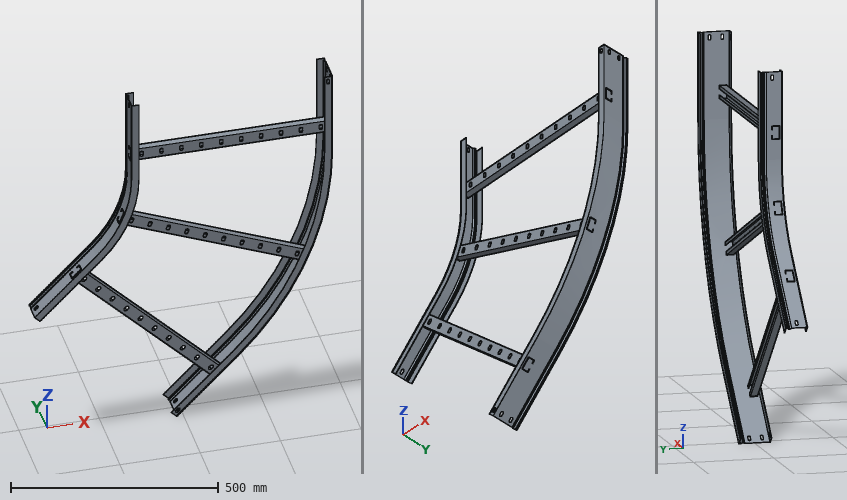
import cadquery as cq
import math


BEND_ANGLE = 45.0
OVERALL_HEIGHT = 936.0
OUTER_RADIUS = 799.0
INNER_RADIUS = 298.0
BEND_SIN = math.sin(math.radians(BEND_ANGLE))
BEND_COS = math.cos(math.radians(BEND_ANGLE))
LEG_LENGTH = (OVERALL_HEIGHT - OUTER_RADIUS * BEND_SIN) / (1 + BEND_COS)

OUTER_RAIL_DEPTH = 80.0
INNER_RAIL_DEPTH = 55.0
RAIL_SHEET = 2.0
FLANGE_WIDTH = 20.0

BEAD_OFFSET = 10.0
BEAD_FLOOR = 2.0
BEAD_PRESS = 4.0
BEAD_FLANK_ANGLE = 45.0

END_SLOT_LENGTH = 13.0
END_SLOT_WIDTH = 7.0
END_SLOT_INSET = 14.0
INNER_WEB_SLOTS = [25.0]
OUTER_WEB_SLOTS = [19.0, 51.0]
FLANGE_SLOT_OFFSET = 11.0

RUNG_HEIGHT = 34.0
RUNG_DEPTH = 20.0
RUNG_SHEET = 1.5
RUNG_LIP = 9.0
RUNG_BEND_RADIUS = 2.0
RUNG_FRONT_OFFSET = 7.0
RUNG_TO_ARC = 67.0

RUNG_SLOT_COUNT = 10
RUNG_SLOT_PITCH = 50.0
RUNG_SLOT_LENGTH = 14.0
RUNG_SLOT_WIDTH = 8.0

BEND_AXIS = ((0, 0, 0), (0, 1, 0))
SPAN_MIDDLE = (INNER_RADIUS + OUTER_RADIUS) / 2


def at_far_leg(body):
    """Turn a body from the end of the upper leg's arc to the lower leg's."""
    return body.rotate(*BEND_AXIS, BEND_ANGLE)


def along_path(corners):
    """Carry a section with (radius, Y) corners along leg, arc and leg."""
    upper_leg = cq.Workplane("XY").polyline(corners).close().extrude(LEG_LENGTH)
    arc = cq.Workplane("XY").polyline(corners).close().revolve(BEND_ANGLE, (0, 0), (0, 1))
    lower_leg = at_far_leg(upper_leg.mirror("XY"))
    return upper_leg.union(arc).union(lower_leg)


def rail_section(web_radius, inward, depth):
    """Corners of the beaded channel; inward is the radial direction (+1 or -1) its flanges point to."""
    bead_y = depth - BEAD_OFFSET
    half_floor = BEAD_FLOOR / 2
    half_mouth = half_floor + BEAD_PRESS
    corner_shift = RAIL_SHEET * math.tan(math.radians(BEAD_FLANK_ANGLE / 2))
    outside = [
        (FLANGE_WIDTH, 0),
        (0, 0),
        (0, bead_y - half_mouth),
        (BEAD_PRESS, bead_y - half_floor),
        (BEAD_PRESS, bead_y + half_floor),
        (0, bead_y + half_mouth),
        (0, depth),
        (FLANGE_WIDTH, depth),
    ]
    inside = [
        (FLANGE_WIDTH, depth - RAIL_SHEET),
        (RAIL_SHEET, depth - RAIL_SHEET),
        (RAIL_SHEET, bead_y + half_mouth + corner_shift),
        (BEAD_PRESS + RAIL_SHEET, bead_y + half_floor + corner_shift),
        (BEAD_PRESS + RAIL_SHEET, bead_y - half_floor - corner_shift),
        (RAIL_SHEET, bead_y - half_mouth - corner_shift),
        (RAIL_SHEET, RAIL_SHEET),
        (FLANGE_WIDTH, RAIL_SHEET),
    ]
    return [(web_radius + inward * across, y) for across, y in outside + inside]


def both_ends(slot):
    """The same slot cutter at both ends of a rail; given on the upper leg."""
    return slot.union(at_far_leg(slot.mirror("XY")))


def end_slot(plane, radius, y):
    """Upper-leg slot cutter along Z, sunk through the sheet lying in the given plane."""
    return (
        cq.Workplane(plane, origin=(radius, y, LEG_LENGTH - END_SLOT_INSET))
        .slot2D(END_SLOT_LENGTH, END_SLOT_WIDTH, 90)
        .extrude(RAIL_SHEET, both=True)
    )


def make_rail(web_radius, inward, depth, web_slot_places):
    rail = along_path(rail_section(web_radius, inward, depth))
    for y in web_slot_places:
        rail = rail.cut(both_ends(end_slot("YZ", web_radius, y)))
    return rail


def rung_block(depth, height, back):
    """Block along X, from the bend centre past the outer rail, centred on the X axis in Z."""
    return (
        cq.Workplane("YZ")
        .center(back - depth / 2, 0)
        .rect(depth, height)
        .extrude(OUTER_RADIUS + FLANGE_WIDTH)
    )


def make_rung():
    """C-section rung along X, its centre line on the X axis and its lipped opening at the back."""
    back = RUNG_FRONT_OFFSET + RUNG_DEPTH
    middle = back - RUNG_DEPTH / 2
    bar = rung_block(RUNG_DEPTH, RUNG_HEIGHT, back).edges("|X").fillet(RUNG_BEND_RADIUS)
    core = rung_block(RUNG_DEPTH - 2 * RUNG_SHEET, RUNG_HEIGHT - 2 * RUNG_SHEET, back - RUNG_SHEET)
    mouth = rung_block(RUNG_DEPTH / 2, RUNG_HEIGHT - 2 * RUNG_LIP, back)
    slots = (
        cq.Workplane("XZ")
        .center(SPAN_MIDDLE, 0)
        .rarray(RUNG_SLOT_PITCH, 9, RUNG_SLOT_COUNT, 1)
        .slot2D(RUNG_SLOT_LENGTH, RUNG_SLOT_WIDTH, 90)
        .extrude(-middle)
    )
    return bar.cut(core).cut(mouth).cut(slots)


rail_span = along_path(
    [
        (INNER_RADIUS, 0),
        (OUTER_RADIUS, 0),
        (OUTER_RADIUS, OUTER_RAIL_DEPTH),
        (INNER_RADIUS, OUTER_RAIL_DEPTH),
    ]
)
rungs = []
for turn, shift in [(0, RUNG_TO_ARC), (BEND_ANGLE / 2, 0), (BEND_ANGLE, -RUNG_TO_ARC)]:
    placed = make_rung().translate((0, 0, shift)).rotate(*BEND_AXIS, turn)
    rungs.append(placed.intersect(rail_span))

inner_rail = make_rail(INNER_RADIUS, 1, INNER_RAIL_DEPTH, INNER_WEB_SLOTS)
outer_rail = make_rail(OUTER_RADIUS, -1, OUTER_RAIL_DEPTH, OUTER_WEB_SLOTS)
outer_rail = outer_rail.cut(both_ends(end_slot("XZ", OUTER_RADIUS - FLANGE_SLOT_OFFSET, 0)))
for rung in rungs:
    inner_rail = inner_rail.cut(rung)
    outer_rail = outer_rail.cut(rung)

result = cq.Compound.makeCompound([inner_rail.val(), outer_rail.val(), *[rung.val() for rung in rungs]])